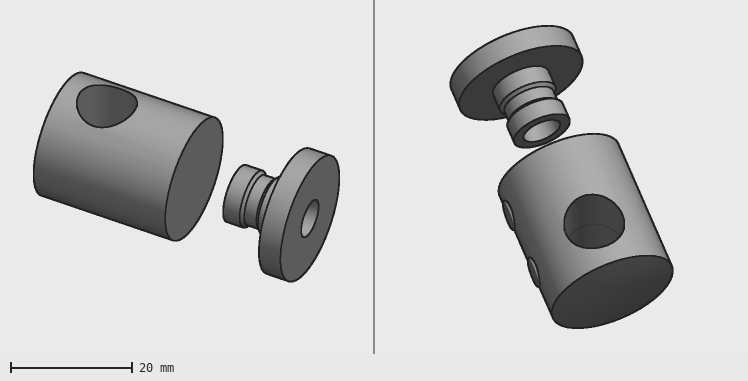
import cadquery as cq

total_length = 46.45

barrel_diameter = 21.5
barrel_length = 24.3
dome_height = 0.8

rod_diameter = 10.0
rod_hole_x = 9.0

boss_diameter = 5.2
boss_edge_radius = 0.33
boss_first_x = 8.88
boss_spacing = 11.35
boss_count = 2

disc_diameter = 22.0
disc_thickness = 4.0
stem_length = 9.55
stem_bore_diameter = 6.5
groove_diameter = 8.85
groove_offset = 3.05
groove_width = 3.4

barrel_radius = barrel_diameter / 2
barrel_end_x = dome_height + barrel_length
boss_top_y = disc_diameter / 2
stem_diameter = rod_diameter
disc_start_x = total_length - disc_thickness
stem_start_x = disc_start_x - stem_length
groove_depth = (stem_diameter - groove_diameter) / 2


def revolve_about_x(profile):
    """Turn a closed XY profile that lies on the X axis into a round solid."""
    return profile.revolve(360, (0, 0, 0), (1, 0, 0))


def make_domed_bar():
    sphere_radius = (barrel_radius**2 + dome_height**2) / (2 * dome_height)
    mid_y = barrel_radius / 2
    mid_x = sphere_radius - (sphere_radius**2 - mid_y**2) ** 0.5
    profile = (
        cq.Workplane("XY")
        .moveTo(0, 0)
        .threePointArc((mid_x, mid_y), (dome_height, barrel_radius))
        .lineTo(barrel_end_x, barrel_radius)
        .lineTo(barrel_end_x, 0)
        .close()
    )
    return revolve_about_x(profile)


def make_boss(x):
    """Round boss from the barrel's axis out to its flat, round-edged top on the +Y side."""
    axis_plane = cq.Plane(origin=(x, 0, 0), xDir=(1, 0, 0), normal=(0, 1, 0))
    boss = cq.Workplane(axis_plane).circle(boss_diameter / 2).extrude(boss_top_y)
    return boss.faces(">Y").edges().fillet(boss_edge_radius)


def make_barrel():
    barrel = make_domed_bar()
    for i in range(boss_count):
        barrel = barrel.union(make_boss(boss_first_x + i * boss_spacing))
    rod_hole = (
        cq.Workplane("XY")
        .center(rod_hole_x, 0)
        .circle(rod_diameter / 2)
        .extrude(barrel_radius, both=True)
    )
    return barrel.cut(rod_hole)


def make_mount():
    stem_radius = stem_diameter / 2
    groove_start_x = stem_start_x + groove_offset
    groove_end_x = groove_start_x + groove_width
    profile = (
        cq.Workplane("XY")
        .moveTo(stem_start_x, 0)
        .lineTo(stem_start_x, stem_radius)
        .lineTo(groove_start_x, stem_radius)
        .lineTo(groove_start_x + groove_depth, groove_diameter / 2)
        .lineTo(groove_end_x - groove_depth, groove_diameter / 2)
        .lineTo(groove_end_x, stem_radius)
        .lineTo(disc_start_x, stem_radius)
        .lineTo(disc_start_x, disc_diameter / 2)
        .lineTo(total_length, disc_diameter / 2)
        .lineTo(total_length, 0)
        .close()
    )
    mount = revolve_about_x(profile)
    bore = (
        cq.Workplane("YZ", origin=(stem_start_x, 0, 0))
        .circle(stem_bore_diameter / 2)
        .extrude(stem_length + disc_thickness)
    )
    return mount.cut(bore)


barrel = make_barrel()
mount = make_mount()

result = cq.Compound.makeCompound([barrel.val(), mount.val()])